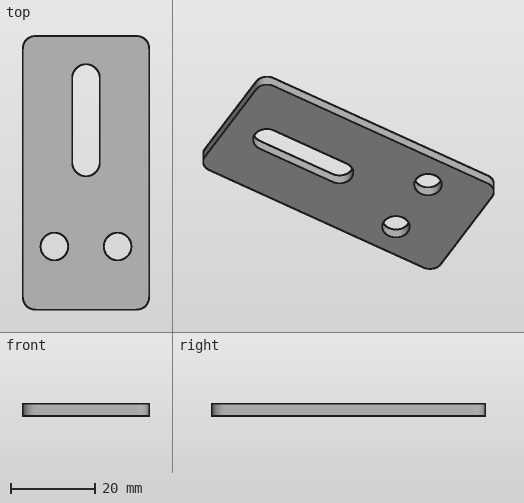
import cadquery as cq

length = 65.0
width = 30.0
thickness = 3.0
corner_radius = 3.0

hole_diameter = 6.5
hole_spacing = width / 2
hole_edge_distance = 15.0
slot_travel = 20.0
slot_edge_distance = 20.0

hole_y = -length / 2 + hole_edge_distance
slot_y = length / 2 - slot_edge_distance

plate = (
    cq.Workplane("XY")
    .box(width, length, thickness, centered=(True, True, False))
    .edges("|Z")
    .fillet(corner_radius)
)

holes = (
    cq.Workplane("XY")
    .pushPoints([(side * hole_spacing / 2, hole_y) for side in (-1, 1)])
    .circle(hole_diameter / 2)
    .extrude(thickness)
)

slot = (
    cq.Workplane("XY")
    .center(0, slot_y)
    .slot2D(slot_travel + hole_diameter, hole_diameter, angle=90)
    .extrude(thickness)
)

result = plate.cut(holes).cut(slot)